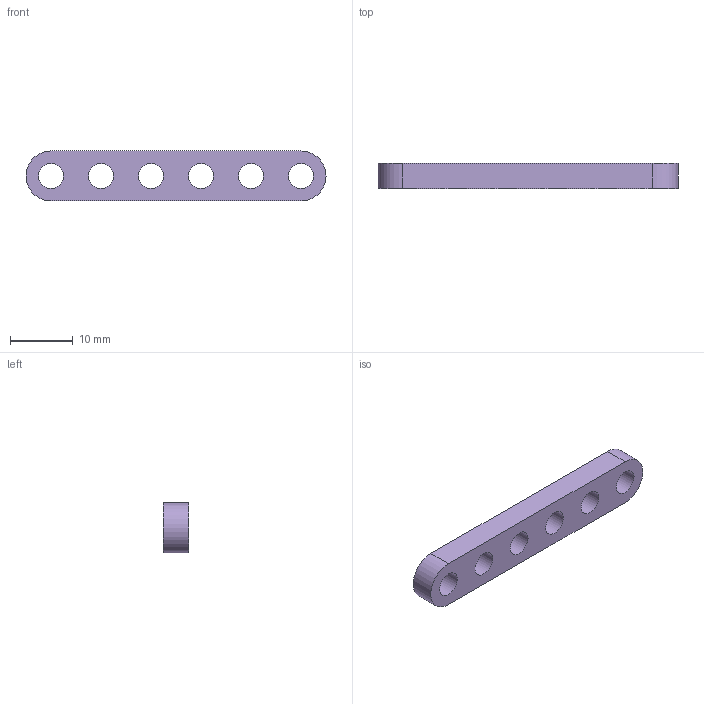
import cadquery as cq

hole_count = 6
hole_pitch = 8.0
hole_diameter = 4.0
bar_height = 8.0
bar_thickness = 4.0

hole_span = (hole_count - 1) * hole_pitch
bar_length = hole_span + bar_height


def make_bar():
    """Flat bar along X with full-round ends, centred on the origin."""
    return (
        cq.Workplane("XZ")
        .slot2D(bar_length, bar_height)
        .extrude(bar_thickness / 2, both=True)
    )


def drill_holes(bar):
    """Evenly spaced row of through holes along the bar, bored along Y."""
    return (
        bar.faces("<Y")
        .workplane(centerOption="CenterOfBoundBox")
        .rarray(hole_pitch, bar_height, hole_count, 1)
        .hole(hole_diameter)
    )


result = drill_holes(make_bar())